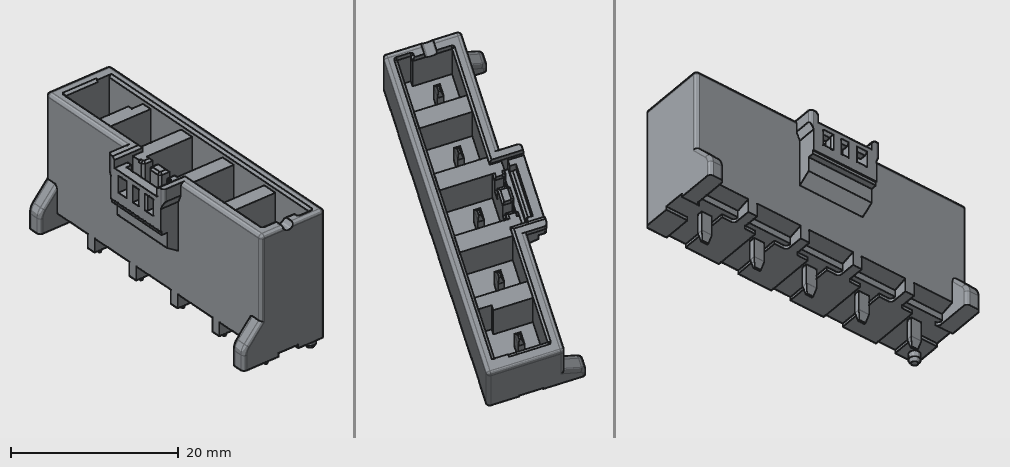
import cadquery as cq

LENGTH = 40.98
HEIGHT = 18.1
BACK_Y = 5.55
FRONT_Y = -4.2
LATCH_FRONT_Y = -6.9
EDGE_RADIUS = 0.5
OVERLAP = 1.0
TOLERANCE = 1e-4

PITCH = 7.92
PIN_COUNT = 5
PIN_WIDTH = 1.55
PIN_THICKNESS = 0.8
PIN_BOTTOM_Z = -3.7
PIN_TOP_Z = 11.5
TIP_LENGTH = 1.3
TIP_THICKNESS = 0.25
SOLDER_TIP_WIDTH = 0.92
CONTACT_TIP_WIDTH = 0.6

CELL_HALF = 2.9
CELL_FLOOR_Z = 3.0
CELL_BACK_Y = 4.05
CELL_FRONT_Y = -2.6
RIB_TOP_Z = 17.2
MOUTH_CHAMFER = 0.35
KEY_SHIFT = 0.65
KEY_Y = 2.35
GROOVE_RADIUS = 0.77

FOOT_WIDTH = 2.15
FOOT_TOP_Z = 6.0
FOOT_CORNER_Z = 2.95
FOOT_BEND_RADIUS = 2.0

STANDOFF = 0.5
SIDE_CHANNEL_HALF = 1.5
PIN_CHANNEL_HALF = 1.45
RELIEF_HALF = 3.3
RELIEF_BACK_Y = -2.2
RELIEF_FRONT_Z = 2.0
RELIEF_BACK_Z = 1.5
STANDOFF_FRONT_Y = -1.5
RELIEF_CORNER_RADIUS = 0.5

PEG_X = 19.26
PEG_Y = 4.3
PEG_RADIUS = 0.75
PEG_LENGTH = 1.4
PEG_CHAMFER_RADIAL = 0.32
PEG_CHAMFER_LENGTH = 0.5

LATCH_HALF = 4.76
LATCH_ROOT_Y = -3.5
LATCH_BOTTOM_Z = 8.2
LATCH_SLOPE_TOP_Z = 9.3
LATCH_STEP_Y = -5.93
LATCH_STEP_Z = 11.45
LATCH_LEDGE_DEPTH = 0.15
LATCH_LEDGE_HEIGHT = 0.5
EAR_HALF = 5.25
EAR_CORNER_RADIUS = 0.45
EAR_STRAIGHT_Z = 16.3
EAR_BOTTOM_Z = 15.17
SLOT_HALF = 4.05
BAR_TOP_Z = 16.6
POCKET_FRONT_Y = -4.9
POCKET_BACK_Y = -4.25
POCKET_FLOOR_Z = 10.8
POCKET_SLOPE = 0.7
RECESS_HALF = 3.3
RECESS_FRONT_Y = -5.67
RECESS_SLOPE = 0.4

WINDOW_BOTTOM_Z = 13.5
WINDOW_TOP_Z = 15.88
WINDOW_TOP_FLARE = 0.38
WINDOW_CENTRE_HALF = 0.57
WINDOW_SIDE_INNER = 2.0
WINDOW_SIDE_FLARE = 0.25

POST_HALF = 1.07
POST_FRONT_Y = -4.1
POST_CHAMFER = 0.32
POST_TOP_CHAMFER = 0.3
LIP_INNER = 2.1

END_X = LENGTH / 2
PIN_XS = [(i - (PIN_COUNT - 1) / 2) * PITCH for i in range(PIN_COUNT)]
CAVITY_END = PIN_XS[-1] + CELL_HALF
FOOT_INNER = END_X - FOOT_WIDTH


def block(x0, x1, y0, y1, z0, z1):
    return cq.Workplane("XY").box(x1 - x0, y1 - y0, z1 - z0, centered=False).translate((x0, y0, z0))


def prism_x(points, x0, x1):
    """Extrude a (y, z) outline along X."""
    return cq.Workplane("YZ").polyline(points).close().extrude(x1 - x0).translate((x0, 0, 0))


def foot(x0):
    outline = [
        (FRONT_Y + OVERLAP, 0),
        (LATCH_FRONT_Y, 0),
        (LATCH_FRONT_Y, FOOT_CORNER_Z),
        (FRONT_Y, FOOT_TOP_Z),
        (FRONT_Y + OVERLAP, FOOT_TOP_Z),
    ]
    bend = cq.selectors.NearestToPointSelector((x0 + FOOT_WIDTH / 2, LATCH_FRONT_Y, FOOT_CORNER_Z))
    return prism_x(outline, x0, x0 + FOOT_WIDTH).edges(bend).fillet(FOOT_BEND_RADIUS)


def shell():
    body = block(-END_X, END_X, FRONT_Y, BACK_Y, 0, HEIGHT)
    body = body.union(foot(-END_X)).union(foot(FOOT_INNER)).clean()
    rounded = []
    for edge in body.edges().vals():
        box = edge.BoundingBox()
        rim_edge = box.zmin > HEIGHT - TOLERANCE
        back_corner = box.ymin > BACK_Y - TOLERANCE and box.xlen < TOLERANCE
        side_edge = box.xlen < TOLERANCE and box.ymax < FRONT_Y + TOLERANCE and box.zmax > TOLERANCE
        inside_corner = box.ymin > FRONT_Y - TOLERANCE and abs(box.center.x) < END_X - TOLERANCE
        if rim_edge or back_corner or (side_edge and not inside_corner):
            rounded.append(edge)
    return body.newObject(rounded).fillet(EDGE_RADIUS)


def latch_housing():
    outline = [
        (LATCH_ROOT_Y, LATCH_BOTTOM_Z),
        (FRONT_Y, LATCH_BOTTOM_Z),
        (LATCH_STEP_Y, LATCH_SLOPE_TOP_Z),
        (LATCH_STEP_Y, LATCH_STEP_Z),
        (LATCH_FRONT_Y + LATCH_LEDGE_DEPTH, LATCH_STEP_Z),
        (LATCH_FRONT_Y + LATCH_LEDGE_DEPTH, LATCH_STEP_Z + LATCH_LEDGE_HEIGHT),
        (LATCH_FRONT_Y, LATCH_STEP_Z + LATCH_LEDGE_HEIGHT),
        (LATCH_FRONT_Y, HEIGHT),
        (LATCH_ROOT_Y, HEIGHT),
    ]
    ears = (
        cq.Workplane("XZ")
        .polyline([
            (-LATCH_HALF, EAR_BOTTOM_Z),
            (LATCH_HALF, EAR_BOTTOM_Z),
            (EAR_HALF, EAR_STRAIGHT_Z),
            (EAR_HALF, HEIGHT),
            (-EAR_HALF, HEIGHT),
            (-EAR_HALF, EAR_STRAIGHT_Z),
        ])
        .close()
        .extrude(LATCH_ROOT_Y - LATCH_FRONT_Y)
        .translate((0, LATCH_ROOT_Y, 0))
        .edges("|Z and <Y")
        .fillet(EAR_CORNER_RADIUS)
    )
    return prism_x(outline, -LATCH_HALF, LATCH_HALF).union(ears)


def mouth():
    """Open space above the ribs: the plug outline, flared at the rim and open through the latch front."""
    outline = [
        (-CAVITY_END, CELL_BACK_Y),
        (CAVITY_END + KEY_SHIFT, CELL_BACK_Y),
        (CAVITY_END + KEY_SHIFT, KEY_Y),
        (CAVITY_END, KEY_Y),
        (CAVITY_END, CELL_FRONT_Y),
        (SLOT_HALF, CELL_FRONT_Y),
        (SLOT_HALF, POCKET_FRONT_Y),
        (-SLOT_HALF, POCKET_FRONT_Y),
        (-SLOT_HALF, CELL_FRONT_Y),
        (-CAVITY_END, CELL_FRONT_Y),
    ]
    straight = cq.Workplane("XY").workplane(offset=RIB_TOP_Z).polyline(outline).close()
    straight = straight.extrude(HEIGHT - RIB_TOP_Z)
    rim = cq.Workplane("XY").workplane(offset=HEIGHT - MOUTH_CHAMFER).polyline(outline).close()
    rim = rim.extrude(MOUTH_CHAMFER, taper=-45)
    rim = rim.cut(block(-END_X, -CAVITY_END, KEY_Y, BACK_Y, 0, HEIGHT))
    front_y = LATCH_FRONT_Y - OVERLAP
    opening = block(-SLOT_HALF, SLOT_HALF, front_y, FRONT_Y, BAR_TOP_Z, HEIGHT)
    flare_z = HEIGHT - MOUTH_CHAMFER
    flare = (
        cq.Workplane("XZ")
        .polyline([
            (-SLOT_HALF, flare_z),
            (SLOT_HALF, flare_z),
            (SLOT_HALF + MOUTH_CHAMFER, HEIGHT),
            (-SLOT_HALF - MOUTH_CHAMFER, HEIGHT),
        ])
        .close()
        .extrude(FRONT_Y - front_y)
        .translate((0, FRONT_Y, 0))
    )
    return straight.union(rim).union(opening).union(flare)


def cells():
    space = cq.Workplane("XY")
    for x in PIN_XS:
        space = space.union(
            block(x - CELL_HALF, x + CELL_HALF, CELL_FRONT_Y, CELL_BACK_Y, CELL_FLOOR_Z, HEIGHT)
        )
    for x in (PIN_XS[0], PIN_XS[-1]):
        wall_x = x + CELL_HALF
        space = space.union(block(x, wall_x + KEY_SHIFT, KEY_Y, CELL_BACK_Y, CELL_FLOOR_Z, HEIGHT))
    return space


def end_groove():
    length = END_X - CAVITY_END + OVERLAP
    return (
        cq.Workplane("YZ")
        .center(0, HEIGHT)
        .circle(GROOVE_RADIUS)
        .extrude(length)
        .translate((CAVITY_END - MOUTH_CHAMFER, 0, 0))
    )


def latch_pocket():
    """Space between the posts and the latch front wall, with the gaps beside the centre post."""
    pocket = prism_x(
        [
            (POST_FRONT_Y, POCKET_FLOOR_Z),
            (POCKET_BACK_Y, POCKET_FLOOR_Z),
            (POCKET_FRONT_Y, POCKET_FLOOR_Z + POCKET_SLOPE),
            (POCKET_FRONT_Y, HEIGHT),
            (POST_FRONT_Y, HEIGHT),
        ],
        -SLOT_HALF,
        SLOT_HALF,
    )
    recess = prism_x(
        [
            (POCKET_FRONT_Y, WINDOW_BOTTOM_Z - RECESS_SLOPE),
            (RECESS_FRONT_Y + RECESS_SLOPE, WINDOW_BOTTOM_Z - RECESS_SLOPE),
            (RECESS_FRONT_Y, WINDOW_BOTTOM_Z),
            (RECESS_FRONT_Y, HEIGHT),
            (POCKET_FRONT_Y, HEIGHT),
        ],
        -RECESS_HALF,
        RECESS_HALF,
    )
    behind_posts = block(-LIP_INNER, LIP_INNER, POST_FRONT_Y, CELL_FRONT_Y, POCKET_FLOOR_Z, HEIGHT)
    return pocket.union(recess).union(behind_posts)


def bevelled_post(x0, x1):
    """Post with bevelled front corners and a bevelled top."""
    post = block(x0, x1, POST_FRONT_Y, CELL_FRONT_Y, POCKET_FLOOR_Z, RIB_TOP_Z)
    post = post.edges("|Z and <Y").chamfer(POST_CHAMFER)
    return post.faces(">Z").edges().chamfer(POST_TOP_CHAMFER)


def lip_sites():
    """The two wall ends that flank the centre post, cleared for their bevelled shape."""
    left = block(-CELL_HALF, -LIP_INNER, POST_FRONT_Y, CELL_FRONT_Y, POCKET_FLOOR_Z, HEIGHT)
    return left.union(left.mirror("YZ"))


def posts():
    """Centre post and side lips; each lip runs into the rib beside it."""
    lip = bevelled_post(-SLOT_HALF, -LIP_INNER).intersect(lip_sites())
    return bevelled_post(-POST_HALF, POST_HALF).union(lip).union(lip.mirror("YZ"))


def windows():
    y_in = RECESS_FRONT_Y
    y_out = LATCH_FRONT_Y
    heights = prism_x(
        [
            (y_in, WINDOW_BOTTOM_Z),
            (y_out, WINDOW_BOTTOM_Z),
            (y_out, WINDOW_TOP_Z),
            (y_out + WINDOW_TOP_FLARE, WINDOW_TOP_Z - WINDOW_TOP_FLARE),
            (y_in, WINDOW_TOP_Z - WINDOW_TOP_FLARE),
        ],
        -SLOT_HALF,
        SLOT_HALF,
    )
    widths = block(-WINDOW_CENTRE_HALF, WINDOW_CENTRE_HALF, y_out, y_in, 0, HEIGHT)
    for side in (-1, 1):
        plan = [
            (side * RECESS_HALF, y_in),
            (side * RECESS_HALF, y_out),
            (side * (WINDOW_SIDE_INNER - WINDOW_SIDE_FLARE), y_out),
            (side * WINDOW_SIDE_INNER, y_out + WINDOW_SIDE_FLARE),
            (side * WINDOW_SIDE_INNER, y_in),
        ]
        widths = widths.union(cq.Workplane("XY").polyline(plan).close().extrude(HEIGHT))
    return heights.intersect(widths)


def underside_relief():
    channel_ends = (PIN_XS[0], PIN_XS[-1])
    relief = cq.Workplane("XY")
    for x, end_x in zip(channel_ends, (-END_X, END_X)):
        x0, x1 = sorted((x, end_x))
        relief = relief.union(block(x0, x1, -SIDE_CHANNEL_HALF, SIDE_CHANNEL_HALF, 0, STANDOFF))
    for x in PIN_XS:
        relief = relief.union(
            block(x - PIN_CHANNEL_HALF, x + PIN_CHANNEL_HALF, FRONT_Y, BACK_Y, 0, STANDOFF)
        )
        x0 = max(x - RELIEF_HALF, -FOOT_INNER)
        x1 = min(x + RELIEF_HALF, FOOT_INNER)
        outline = [
            (FRONT_Y, 0),
            (FRONT_Y, RELIEF_FRONT_Z),
            (RELIEF_BACK_Y, RELIEF_BACK_Z),
            (RELIEF_BACK_Y, 0),
        ]
        relief = relief.union(prism_x(outline, x0, x1))
        toe = block(x0, x1, FRONT_Y, STANDOFF_FRONT_Y, 0, STANDOFF)
        relief = relief.union(toe.edges("|Z and >Y").fillet(RELIEF_CORNER_RADIUS))
    return relief


def pin(x):
    def tip(start_z, length, end_width):
        return (
            cq.Workplane("XY")
            .workplane(offset=start_z)
            .rect(PIN_WIDTH, PIN_THICKNESS)
            .workplane(offset=length)
            .rect(end_width, TIP_THICKNESS)
            .loft(ruled=True)
        )

    low = PIN_BOTTOM_Z + TIP_LENGTH
    high = PIN_TOP_Z - TIP_LENGTH
    shank = cq.Workplane("XY").workplane(offset=low).rect(PIN_WIDTH, PIN_THICKNESS).extrude(high - low)
    shank = shank.union(tip(low, -TIP_LENGTH, SOLDER_TIP_WIDTH))
    shank = shank.union(tip(high, TIP_LENGTH, CONTACT_TIP_WIDTH))
    return shank.translate((x, 0, 0))


def peg():
    return (
        cq.Workplane("XY")
        .center(PEG_X, PEG_Y)
        .circle(PEG_RADIUS)
        .extrude(-PEG_LENGTH)
        .faces("<Z")
        .chamfer(PEG_CHAMFER_LENGTH, PEG_CHAMFER_RADIAL)
    )


result = shell().union(latch_housing())
result = result.cut(mouth()).cut(cells()).cut(end_groove())
result = result.cut(latch_pocket()).cut(lip_sites()).union(posts()).cut(windows())
result = result.cut(underside_relief())
for pin_x in PIN_XS:
    result = result.union(pin(pin_x))
result = result.union(peg())